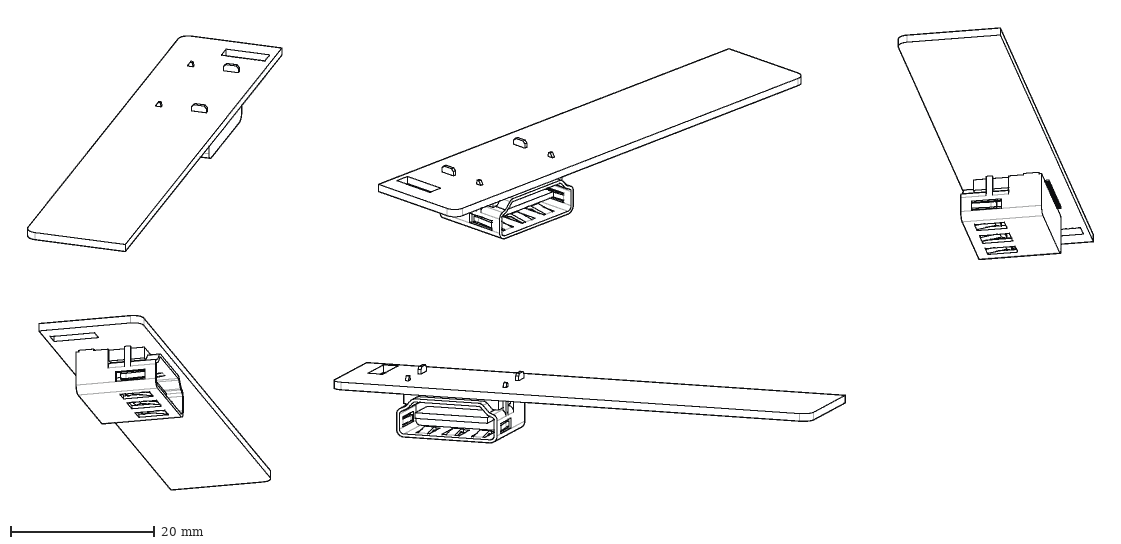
import cadquery as cq

BOARD_WIDTH = 14.78
BOARD_LENGTH = 71.0
BOARD_THICKNESS = 1.1
BOARD_CORNER_RADIUS = 1.5
WINDOW_WIDTH = 6.4
WINDOW_HEIGHT = 2.15
WINDOW_RIGHT_MARGIN = 0.9
WINDOW_TOP_MARGIN = 2.8

TOTAL_HEIGHT = 8.28
SHELL_CENTRE_Y = 18.5
SHELL_FRONT_X = 0.47
SHELL_STEP_X = 7.3
SHELL_BACK_X = 11.97
SHELL_HALF_WIDTH = 7.47
SHELL_BOTTOM_Z = -6.2
SHELL_BEND_RADIUS = 1.1
SHEET = 0.45
BOARD_GAP = 0.2
MOUTH_TOP_Z = -0.65
MOUTH_TOP_HALF_WIDTH = 5.1
SHOULDER_Z = -1.9
SHOULDER_HALF_WIDTH = 6.3
MOUTH_SIDE_TOP_Z = -2.35
MOUTH_TOP_RADIUS = 0.9
MOUTH_SIDE_RADIUS = 0.9

HOUSING_FRONT_X = 2.2
HOUSING_HALF_WIDTH = SHELL_HALF_WIDTH - SHEET
HOUSING_LEDGE_Z = -1.8
TONGUE_FRONT_X = 2.3
TONGUE_HALF_WIDTH = 5.35
TONGUE_TOP_Z = -3.0
TONGUE_BOTTOM_Z = -3.8

FOOT_COUNT = 19
FOOT_PITCH = 0.5
FOOT_WIDTH = 0.25
FOOT_START_X = 11.5
FOOT_END_X = 12.5

FRONT_TAB_X = (4.1, 4.97)
FRONT_TAB_TIP_X = (4.5, 4.8)
FRONT_TAB_TOP_Z = 1.7
FRONT_TAB_ROOT_Z = -3.1
REAR_TAB_X = (9.4, 11.6)
REAR_TAB_TOP_Z = TOTAL_HEIGHT + SHELL_BOTTOM_Z
REAR_TAB_CHAMFER = 0.35

SLOT_FRONT_X = 2.0
SLOT_LENGTH = 4.25
SIDE_SLOT_Z = (-5.05, -3.63)
SIDE_FINGER_Z = (-4.7, -3.93)
SIDE_FINGER_RISE = 0.2
FLOOR_SLOT_Y = 4.1
FLOOR_SLOT_WIDTH = 2.0
FLOOR_FINGER_WIDTH = 1.4
CENTRE_SLOT_WIDTH = 2.6
CENTRE_FINGER_WIDTH = 1.3
FLOOR_FINGER_RISE = 0.45
ROOF_FINGER_Y = 2.45
ROOF_FINGER_WIDTH = 1.25
ROOF_FINGER_RISE = 0.35
FINGER_LENGTH = 3.55
FINGER_TIP_LENGTH = 0.8
FINGER_OVERLAP = 0.05


def box(x_range, y_range, z_range):
    """Box spanning the given ranges, with y measured from the shell's centre plane."""
    size = [high - low for low, high in (x_range, y_range, z_range)]
    corner = (x_range[0], SHELL_CENTRE_Y + y_range[0], z_range[0])
    return cq.Workplane("XY").box(*size, centered=False).translate(corner)


def centred(middle, width):
    return (middle - width / 2, middle + width / 2)


def shell_section(x):
    """Workplane across the shell: local x is Y from the shell's centre, local y is Z."""
    return cq.Workplane("YZ", origin=(x, SHELL_CENTRE_Y, 0))


def make_board():
    board = cq.Workplane("XY").box(
        BOARD_WIDTH, BOARD_LENGTH, BOARD_THICKNESS, centered=(False, True, False)
    )
    board = board.edges("|Z and <X").fillet(BOARD_CORNER_RADIUS)
    window = (
        cq.Workplane("XY")
        .box(WINDOW_WIDTH, WINDOW_HEIGHT, BOARD_THICKNESS, centered=False)
        .translate((
            BOARD_WIDTH - WINDOW_RIGHT_MARGIN - WINDOW_WIDTH,
            BOARD_LENGTH / 2 - WINDOW_TOP_MARGIN - WINDOW_HEIGHT,
            0,
        ))
    )
    return board.cut(window)


def make_mouth():
    """Outside of the shell's mouth: a box with sloped two-step shoulders."""
    right_side = [
        (MOUTH_TOP_HALF_WIDTH, MOUTH_TOP_Z),
        (SHOULDER_HALF_WIDTH, SHOULDER_Z),
        (SHELL_HALF_WIDTH, MOUTH_SIDE_TOP_Z),
        (SHELL_HALF_WIDTH, SHELL_BOTTOM_Z),
    ]
    left_side = [(-y, z) for y, z in reversed(right_side)]
    mouth = (
        shell_section(SHELL_FRONT_X)
        .polyline(right_side + left_side)
        .close()
        .extrude(SHELL_STEP_X - SHELL_FRONT_X)
    )
    mouth = mouth.edges("|X and >Z").fillet(MOUTH_TOP_RADIUS)
    mouth = mouth.edges("|X and <Z").fillet(SHELL_BEND_RADIUS)
    for side in (-1, 1):
        corner = (SHELL_FRONT_X, SHELL_CENTRE_Y + side * SHELL_HALF_WIDTH, MOUTH_SIDE_TOP_Z)
        mouth = mouth.edges("|X").edges(cq.NearestToPointSelector(corner)).fillet(MOUTH_SIDE_RADIUS)
    return mouth


def make_cavity(mouth):
    """Space inside the mouth, one sheet thickness in from its outline."""
    return (
        mouth.faces("<X").wires().toPending()
        .offset2D(-SHEET)
        .extrude(SHELL_STEP_X - SHELL_FRONT_X, combine=False)
    )


def make_rear():
    """Back of the shell with the housing filling it."""
    rear = box(
        (SHELL_STEP_X, SHELL_BACK_X),
        (-SHELL_HALF_WIDTH, SHELL_HALF_WIDTH),
        (SHELL_BOTTOM_Z, -BOARD_GAP),
    )
    return rear.edges("|X and <Z").fillet(SHELL_BEND_RADIUS)


def make_housing_top():
    return box(
        (HOUSING_FRONT_X, SHELL_STEP_X),
        (-HOUSING_HALF_WIDTH, HOUSING_HALF_WIDTH),
        (HOUSING_LEDGE_Z, -BOARD_GAP),
    )


def make_tongue():
    return box(
        (TONGUE_FRONT_X, SHELL_STEP_X),
        (-TONGUE_HALF_WIDTH, TONGUE_HALF_WIDTH),
        (TONGUE_BOTTOM_Z, TONGUE_TOP_Z),
    )


def make_solder_feet():
    feet = cq.Workplane("XY")
    for index in range(FOOT_COUNT):
        foot_y = (index - (FOOT_COUNT - 1) / 2) * FOOT_PITCH
        feet = feet.union(
            box((FOOT_START_X, FOOT_END_X), centred(foot_y, FOOT_WIDTH), (-BOARD_GAP, 0))
        )
    return feet


def make_tabs(side):
    """Pointed front tab and chamfered rear tab in the shell wall on one side (+1 or -1)."""
    wall_middle = side * (SHELL_HALF_WIDTH - SHEET / 2)
    plane = cq.Workplane("XZ", origin=(0, SHELL_CENTRE_Y + wall_middle, 0))
    front = (
        plane.moveTo(FRONT_TAB_X[0], FRONT_TAB_ROOT_Z)
        .lineTo(FRONT_TAB_X[1], FRONT_TAB_ROOT_Z)
        .lineTo(FRONT_TAB_X[1], BOARD_THICKNESS)
        .lineTo(FRONT_TAB_TIP_X[1], FRONT_TAB_TOP_Z)
        .lineTo(FRONT_TAB_TIP_X[0], FRONT_TAB_TOP_Z)
        .lineTo(FRONT_TAB_X[0], BOARD_THICKNESS)
        .close()
        .extrude(SHEET / 2, both=True)
    )
    rear = box(REAR_TAB_X, centred(wall_middle, SHEET), (-BOARD_GAP, REAR_TAB_TOP_Z))
    rear = rear.edges("|Y and >Z").chamfer(REAR_TAB_CHAMFER)
    return front.union(rear)


def make_finger(width, rise):
    """Strip along +X from the origin, ramping up by `rise` and dipping again at its tip."""
    peak_x = FINGER_LENGTH - FINGER_TIP_LENGTH
    return (
        cq.Workplane("XZ")
        .moveTo(-FINGER_OVERLAP, 0)
        .lineTo(peak_x, rise)
        .lineTo(FINGER_LENGTH, rise / 2)
        .lineTo(FINGER_LENGTH, rise / 2 - SHEET)
        .lineTo(peak_x, rise - SHEET)
        .lineTo(-FINGER_OVERLAP, -SHEET)
        .close()
        .extrude(width / 2, both=True)
    )


def place_finger(finger, roll, y, z):
    """Roll a finger about X, then move its root to the slot's mouth end at (y, z)."""
    rolled = finger.rotate((0, 0, 0), (1, 0, 0), roll)
    return rolled.translate((SLOT_FRONT_X, SHELL_CENTRE_Y + y, z))


def add_side_fingers(body):
    slot_x = (SLOT_FRONT_X, SLOT_FRONT_X + SLOT_LENGTH)
    finger_width = SIDE_FINGER_Z[1] - SIDE_FINGER_Z[0]
    finger_z = sum(SIDE_FINGER_Z) / 2
    finger = make_finger(finger_width, SIDE_FINGER_RISE)
    for side in (-1, 1):
        wall_middle = side * (SHELL_HALF_WIDTH - SHEET / 2)
        inner_face = side * (SHELL_HALF_WIDTH - SHEET)
        body = body.cut(box(slot_x, centred(wall_middle, SHEET), SIDE_SLOT_Z))
        body = body.union(place_finger(finger, side * 90, inner_face, finger_z))
    return body


def add_floor_fingers(body):
    slot_x = (SLOT_FRONT_X, SLOT_FRONT_X + SLOT_LENGTH)
    floor_z = SHELL_BOTTOM_Z + SHEET
    for y, slot_width, finger_width in (
        (-FLOOR_SLOT_Y, FLOOR_SLOT_WIDTH, FLOOR_FINGER_WIDTH),
        (0, CENTRE_SLOT_WIDTH, CENTRE_FINGER_WIDTH),
        (FLOOR_SLOT_Y, FLOOR_SLOT_WIDTH, FLOOR_FINGER_WIDTH),
    ):
        body = body.cut(box(slot_x, centred(y, slot_width), (SHELL_BOTTOM_Z, floor_z)))
        finger = make_finger(finger_width, FLOOR_FINGER_RISE)
        body = body.union(place_finger(finger, 0, y, floor_z))
    return body


def add_roof_fingers(body):
    finger = make_finger(ROOF_FINGER_WIDTH, ROOF_FINGER_RISE)
    for y in (-ROOF_FINGER_Y, ROOF_FINGER_Y):
        body = body.union(place_finger(finger, 180, y, MOUTH_TOP_Z - SHEET))
    return body


def make_connector():
    mouth = make_mouth()
    body = mouth.union(make_housing_top()).cut(make_cavity(mouth))
    body = body.union(make_rear()).union(make_tongue()).union(make_solder_feet())
    body = add_side_fingers(body)
    body = add_floor_fingers(body)
    body = add_roof_fingers(body)
    for side in (-1, 1):
        body = body.union(make_tabs(side))
    return body


result = make_board().union(make_connector())